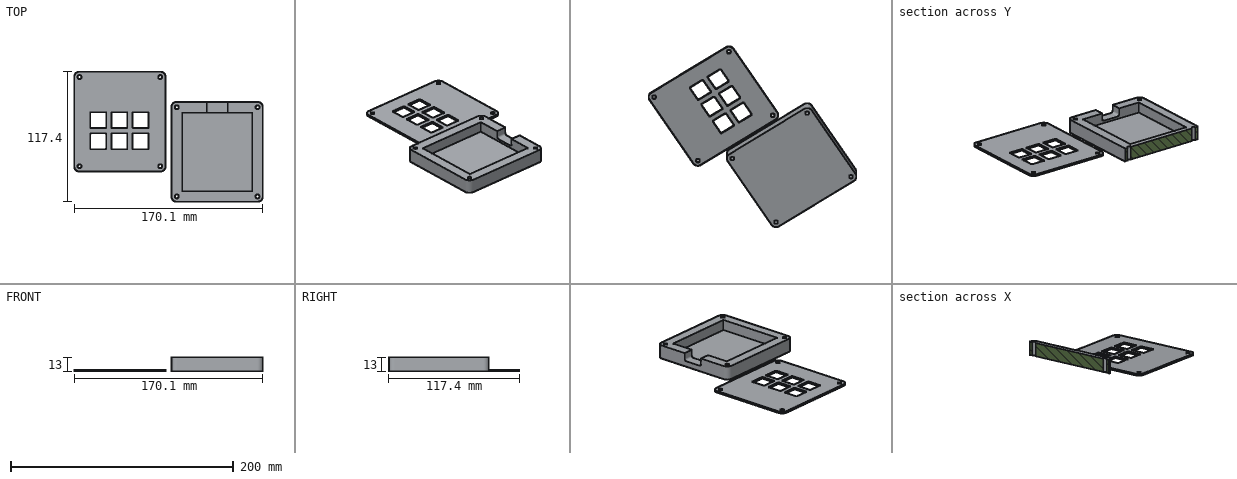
import cadquery as cq

overall_length = 170.1
body_width = 82.5
body_depth = 90.2
corner_radius = 5.0
screw_hole_diameter = 3.4
screw_inset = corner_radius

plate_thickness = 1.7
plate_shift_y = 27.2
cutout_size = 14.1
cutout_corner_radius = 0.3
cutout_pitch = 19.0
cutout_columns = 3
cutout_rows = 2
first_cutout_x = 21.8
first_cutout_y = 27.4

housing_height = 13.0
housing_x = overall_length - body_width
side_wall = 9.7
rear_wall = 10.0
floor_thickness = 3.0

notch_width = 19.0
notch_left = (body_width - notch_width) / 2
notch_floor = 5.5
notch_radius = 2.0


def drilled_block(height):
    """Rounded block with one corner at the origin and a screw hole through each corner."""
    block = cq.Workplane("XY").box(body_width, body_depth, height, centered=False)
    block = block.edges("|Z").fillet(corner_radius)
    hole_span_x = body_width - 2 * screw_inset
    hole_span_y = body_depth - 2 * screw_inset
    holes = (
        cq.Workplane("XY")
        .center(body_width / 2, body_depth / 2)
        .rect(hole_span_x, hole_span_y, forConstruction=True)
        .vertices()
        .circle(screw_hole_diameter / 2)
        .extrude(height)
    )
    return block.cut(holes)


def key_cutout(column, row):
    """Square opening for one key switch, with slightly rounded corners."""
    return (
        cq.Workplane("XY")
        .center(first_cutout_x + column * cutout_pitch, first_cutout_y + row * cutout_pitch)
        .rect(cutout_size, cutout_size)
        .extrude(plate_thickness)
        .edges("|Z")
        .fillet(cutout_corner_radius)
    )


def make_plate():
    plate = drilled_block(plate_thickness)
    for column in range(cutout_columns):
        for row in range(cutout_rows):
            plate = plate.cut(key_cutout(column, row))
    return plate.translate((0, plate_shift_y, 0))


def cavity():
    """Rectangular pocket, open at the top."""
    return cq.Workplane("XY").box(
        body_width - 2 * side_wall,
        body_depth - side_wall - rear_wall,
        housing_height - floor_thickness,
        centered=False,
    ).translate((side_wall, side_wall, floor_thickness))


def cable_notch():
    """Slot from the cavity out through the rear wall, rounded at its lower edges."""
    slot = cq.Workplane("XY").box(
        notch_width, rear_wall, housing_height - notch_floor, centered=False
    )
    slot = slot.faces("<Z").edges("|Y").fillet(notch_radius)
    return slot.translate((notch_left, body_depth - rear_wall, notch_floor))


def make_housing():
    housing = drilled_block(housing_height).cut(cavity()).cut(cable_notch())
    return housing.translate((housing_x, 0, 0))


plate = make_plate()
housing = make_housing()

result = cq.Compound.makeCompound([plate.val(), housing.val()])